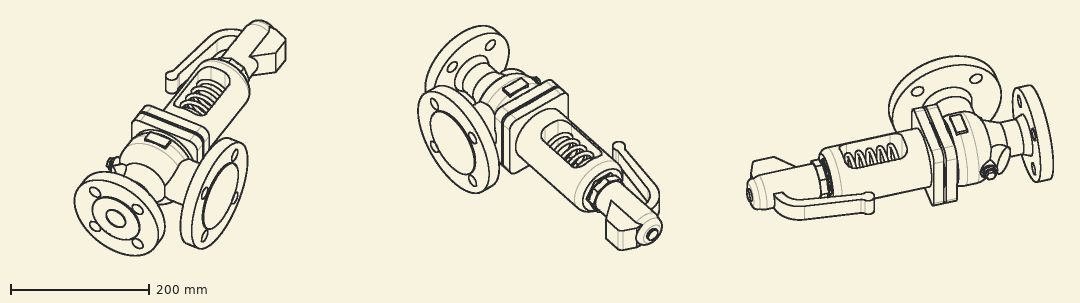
import cadquery as cq
import math


HEX_SIDES = 6

INLET_FACE_Y = -115.0
INLET_FLANGE_D = 140.0
INLET_FLANGE_T = 21.5
INLET_RAISED_D = 78.0
INLET_BOLT_CIRCLE = 100.0
INLET_BORE_D = 32.0
INLET_BORE_DEPTH = 1.0
INLET_PIPE_R = 26.0
INLET_FLARE_R = 31.0
INLET_FLARE_LENGTH = 12.0
INLET_PIPE_END_Y = -57.5

OUTLET_FACE_X = 110.0
OUTLET_FLANGE_D = 165.0
OUTLET_FLANGE_T = 21.0
OUTLET_RAISED_D = 102.0
OUTLET_BOLT_CIRCLE = 125.0
OUTLET_PIPE_R = 32.75
OUTLET_FLARE_R = 38.0
OUTLET_FLARE_LENGTH = 14.0

RAISED_FACE_H = 2.0
BOLT_HOLE_D = 18.0
BOLT_COUNT = 4
BOLT_START_ANGLE = 45.0

BOWL_R = 53.0
BOWL_BOTTOM_R = 36.0
BOWL_BOTTOM_Y = -31.0
BOWL_BELT_LOW_Y = -5.5
BOWL_BELT_HIGH_Y = 12.0
BOWL_TOP_R = 49.0
BOWL_TOP_Y = 24.0
BOWL_NECK_R = 51.0

SQUARE_SIDE = 109.0
SQUARE_CORNER_R = 13.5
BODY_SQUARE_BOTTOM_Y = 28.2
BODY_SQUARE_TOP_Y = 44.7
HOUSING_SQUARE_BOTTOM_Y = 48.0
HOUSING_SQUARE_TOP_Y = 63.3
GASKET_R = 48.0
BODY_LIP_R = 50.0
BODY_LIP_H = 1.2

HOUSING_R = 43.5
HOUSING_TOP_Y = 210.0
HOUSING_SHOULDER_Y = 199.0
HOUSING_TOP_R = 36.5
WINDOW_WIDTH = 51.5
WINDOW_BOTTOM_Y = 91.5
WINDOW_TOP_Y = 185.5
WINDOW_CORNER_R = 14.0

COIL_COUNT = 5
COIL_PITCH = 16.1
COIL_FIRST_Y = 106.7
COIL_WIRE_R = 3.0
COIL_MEAN_R = 27.0

NUT_BOTTOM_Y = 214.7
NUT_TOP_Y = 225.7
NUT_CORNER_R = 29.5
NUT_SIDES = 8
CAP_R = 25.5
LOW_HEX_TOP_Y = 212.8
LOW_HEX_CORNER_R = 30.0
CAP_TAPER_Y = 307.3
CAP_SHOULDER_R = 23.0
CAP_SHOULDER_Y = 317.0
CAP_CROWN_Y = 324.3
CAP_EDGE_R = CAP_CROWN_Y - CAP_SHOULDER_Y
CAP_KNOB_R = 9.0
OVERALL_LENGTH = 442.5
TOP_Y = INLET_FACE_Y + OVERALL_LENGTH

HINGE_THICKNESS = 40.0
HINGE_REACH_X = 45.5
HINGE_LOW_Y = 249.8
HINGE_LOW_X = 15.8
HINGE_OUTER_LOW_Y = 275.0
HINGE_OUTER_TOP_Y = 307.0
HINGE_SHOULDER_X = 22.0
HINGE_EDGE_R = 7.0

LEVER_WIDTH = 28.0
LEVER_BEND_X = -17.6
LEVER_BEND_Y = 255.5
LEVER_OUTER_R = 40.5
LEVER_INNER_R = 26.8
LEVER_OUTER_LEAN = math.radians(7.5)
LEVER_INNER_LEAN = math.radians(9.4)
LEVER_ROOT_X = -12.0
LEVER_GRIP_R = 9.0
LEVER_GRIP_X = -65.77
LEVER_GRIP_Y = 166.0
LEVER_NECK_R = 9.0

DRAIN_BOSS_R = 20.75
DRAIN_FACE_X = -40.0
DRAIN_FACE_Y = -46.75
DRAIN_BOSS_LENGTH = 40.0
PLUG_AXIS_Y = -20.3
PLUG_SEAT_R = 12.6
PLUG_SEAT_X = -55.2
PLUG_COLLAR_R = 9.5
PLUG_COLLAR_X = -59.7
PLUG_HEX_CORNER_D = 15.0
PLUG_END_X = -64.8

PLATE_WIDTH = 34.0
PLATE_HEIGHT = 16.5
PLATE_CENTRE_Y = 9.2
PLATE_TOP_Z = 54.5
PLATE_ROOT_Z = 45.0


def rod_y(radius, y_start, y_end):
    """Cylinder on the Y axis."""
    return cq.Workplane("XZ", origin=(0, y_start, 0)).circle(radius).extrude(y_start - y_end)


def rod_x(radius, x_start, x_end, axis_y=0.0):
    """Cylinder parallel to X, at height axis_y."""
    return cq.Workplane("YZ", origin=(x_start, axis_y, 0)).circle(radius).extrude(x_end - x_start)


def pipe_flange(diameter, thickness, raised_d, bolt_circle):
    """Flange with its sealing face at z = 0 and its back toward +Z."""
    plate = cq.Workplane("XY").workplane(offset=RAISED_FACE_H).circle(diameter / 2)
    plate = plate.extrude(thickness - RAISED_FACE_H)
    holes = cq.Workplane("XY").polarArray(bolt_circle / 2, BOLT_START_ANGLE, 360, BOLT_COUNT)
    holes = holes.circle(BOLT_HOLE_D / 2).extrude(thickness)
    face = cq.Workplane("XY").circle(raised_d / 2).extrude(RAISED_FACE_H)
    return plate.union(face).cut(holes)


def inlet_and_bowl():
    """Inlet pipe, cone and bowl, revolved about Y."""
    flange_back_y = INLET_FACE_Y + INLET_FLANGE_T
    bulge_depth = BOWL_R - BOWL_BOTTOM_R
    bulge_height = BOWL_BELT_LOW_Y - BOWL_BOTTOM_Y
    bulge_r = (bulge_depth**2 + bulge_height**2) / (2 * bulge_depth)
    half_angle = math.asin(bulge_height / bulge_r) / 2
    bulge_mid = (
        BOWL_R - bulge_r * (1 - math.cos(half_angle)),
        BOWL_BELT_LOW_Y - bulge_r * math.sin(half_angle),
    )
    profile = (
        cq.Workplane("XY")
        .moveTo(0, flange_back_y)
        .lineTo(INLET_FLARE_R, flange_back_y)
        .lineTo(INLET_PIPE_R, flange_back_y + INLET_FLARE_LENGTH)
        .lineTo(INLET_PIPE_R, INLET_PIPE_END_Y)
        .lineTo(BOWL_BOTTOM_R, BOWL_BOTTOM_Y)
        .threePointArc(bulge_mid, (BOWL_R, BOWL_BELT_LOW_Y))
        .lineTo(BOWL_R, BOWL_BELT_HIGH_Y)
        .tangentArcPoint((BOWL_TOP_R, BOWL_TOP_Y), relative=False)
        .lineTo(BOWL_NECK_R, BODY_SQUARE_BOTTOM_Y)
        .lineTo(0, BODY_SQUARE_BOTTOM_Y)
        .close()
    )
    bowl = profile.revolve(360, (0, 0, 0), (0, 1, 0))
    flange = pipe_flange(INLET_FLANGE_D, INLET_FLANGE_T, INLET_RAISED_D, INLET_BOLT_CIRCLE)
    flange = flange.rotate((0, 0, 0), (1, 0, 0), -90).translate((0, INLET_FACE_Y, 0))
    bore = rod_y(INLET_BORE_D / 2, INLET_FACE_Y, INLET_FACE_Y + INLET_BORE_DEPTH)
    return bowl.union(flange).cut(bore)


def outlet():
    """Outlet pipe with its flare and flange."""
    flange_back_x = OUTLET_FACE_X - OUTLET_FLANGE_T
    profile = (
        cq.Workplane("XY")
        .lineTo(0, OUTLET_PIPE_R)
        .lineTo(flange_back_x - OUTLET_FLARE_LENGTH, OUTLET_PIPE_R)
        .lineTo(flange_back_x, OUTLET_FLARE_R)
        .lineTo(flange_back_x, 0)
        .close()
    )
    pipe = profile.revolve(360, (0, 0, 0), (1, 0, 0))
    flange = pipe_flange(OUTLET_FLANGE_D, OUTLET_FLANGE_T, OUTLET_RAISED_D, OUTLET_BOLT_CIRCLE)
    flange = flange.rotate((0, 0, 0), (0, 1, 0), -90).translate((OUTLET_FACE_X, 0, 0))
    return pipe.union(flange)


def square_flange(y_bottom, y_top):
    """Square plate with rounded corners, centred on the Y axis."""
    thickness = y_top - y_bottom
    plate = cq.Workplane("XY").box(SQUARE_SIDE, thickness, SQUARE_SIDE)
    plate = plate.edges("|Y").fillet(SQUARE_CORNER_R)
    return plate.translate((0, y_bottom + thickness / 2, 0))


def spring_housing():
    """Housing on its square flange, with a window right through along Z, and the spring coils."""
    profile = (
        cq.Workplane("XY")
        .moveTo(0, HOUSING_SQUARE_BOTTOM_Y)
        .lineTo(HOUSING_R, HOUSING_SQUARE_BOTTOM_Y)
        .lineTo(HOUSING_R, HOUSING_SHOULDER_Y)
        .tangentArcPoint((HOUSING_TOP_R, HOUSING_TOP_Y), relative=False)
        .lineTo(0, HOUSING_TOP_Y)
        .close()
    )
    barrel = profile.revolve(360, (0, 0, 0), (0, 1, 0))
    window_height = WINDOW_TOP_Y - WINDOW_BOTTOM_Y
    window = cq.Workplane("XY").box(WINDOW_WIDTH, window_height, 2 * HOUSING_R)
    window = window.edges("|Z").fillet(WINDOW_CORNER_R)
    housing = barrel.cut(window.translate((0, WINDOW_BOTTOM_Y + window_height / 2, 0)))
    for index in range(COIL_COUNT):
        centre = cq.Vector(0, COIL_FIRST_Y + index * COIL_PITCH, 0)
        housing = housing.union(
            cq.Workplane(cq.Solid.makeTorus(COIL_MEAN_R, COIL_WIRE_R, centre, cq.Vector(0, 1, 0)))
        )
    return housing.union(square_flange(HOUSING_SQUARE_BOTTOM_Y, HOUSING_SQUARE_TOP_Y))


def cap():
    """Lift cap with its top knob, and the octagonal lock nut with a corner on the X axis."""
    crown_r = CAP_SHOULDER_R - CAP_EDGE_R
    profile = (
        cq.Workplane("XY")
        .moveTo(0, HOUSING_TOP_Y)
        .lineTo(CAP_R, HOUSING_TOP_Y)
        .lineTo(CAP_R, CAP_TAPER_Y)
        .lineTo(CAP_SHOULDER_R, CAP_SHOULDER_Y)
        .radiusArc((crown_r, CAP_CROWN_Y), -CAP_EDGE_R)
        .lineTo(CAP_KNOB_R, CAP_CROWN_Y)
        .lineTo(CAP_KNOB_R, TOP_Y)
        .lineTo(0, TOP_Y)
        .close()
    )
    body = profile.revolve(360, (0, 0, 0), (0, 1, 0))
    nut = cq.Workplane("XZ", origin=(0, NUT_BOTTOM_Y, 0)).polygon(NUT_SIDES, 2 * NUT_CORNER_R)
    return body.union(nut.extrude(NUT_BOTTOM_Y - NUT_TOP_Y))


def low_hexagon():
    """Thin hexagon on top of the housing, its corners turned down to a cone."""
    height = LOW_HEX_TOP_Y - HOUSING_TOP_Y
    flat_r = LOW_HEX_CORNER_R * math.cos(math.pi / HEX_SIDES)
    hexagon = cq.Workplane("XZ", origin=(0, HOUSING_TOP_Y, 0)).polygon(HEX_SIDES, 2 * LOW_HEX_CORNER_R)
    prism = hexagon.extrude(-height)
    cone = cq.Solid.makeCone(
        LOW_HEX_CORNER_R, flat_r, height, cq.Vector(0, HOUSING_TOP_Y, 0), cq.Vector(0, 1, 0)
    )
    return prism.intersect(cq.Workplane(cone))


def hinge_housing():
    """Thick plate standing off the +X side of the cap."""
    outline = (
        cq.Workplane("XY", origin=(0, 0, -HINGE_THICKNESS / 2))
        .moveTo(0, HINGE_LOW_Y)
        .lineTo(HINGE_LOW_X, HINGE_LOW_Y)
        .lineTo(HINGE_REACH_X, HINGE_OUTER_LOW_Y)
        .lineTo(HINGE_REACH_X, HINGE_OUTER_TOP_Y)
        .lineTo(HINGE_SHOULDER_X, CAP_SHOULDER_Y)
        .lineTo(0, CAP_SHOULDER_Y)
        .close()
    )
    plate = outline.extrude(HINGE_THICKNESS)
    outer_corner = cq.selectors.NearestToPointSelector((HINGE_REACH_X, HINGE_OUTER_TOP_Y, 0))
    return plate.edges(outer_corner).fillet(HINGE_EDGE_R)


def lever_bend_point(radius, angle):
    """Point on a lever bend arc; angle 0 points toward -X and 90 degrees toward +Y."""
    return (LEVER_BEND_X - radius * math.cos(angle), LEVER_BEND_Y + radius * math.sin(angle))


def lever_edge_end(radius, lean):
    """Point where the straight edge below a bend arc reaches the height of the grip centre."""
    x_bend, y_bend = lever_bend_point(radius, lean)
    return (x_bend - (y_bend - LEVER_GRIP_Y) * math.tan(lean), LEVER_GRIP_Y)


def lever():
    """Bent, tapering lever that leaves the cap and runs down to a round grip."""
    crest = math.pi / 2
    outer_mid = (crest + LEVER_OUTER_LEAN) / 2
    inner_mid = (crest + LEVER_INNER_LEAN) / 2
    outline = (
        cq.Workplane("XY", origin=(0, 0, -LEVER_WIDTH / 2))
        .moveTo(LEVER_ROOT_X, LEVER_BEND_Y + LEVER_OUTER_R)
        .lineTo(*lever_bend_point(LEVER_OUTER_R, crest))
        .threePointArc(
            lever_bend_point(LEVER_OUTER_R, outer_mid),
            lever_bend_point(LEVER_OUTER_R, LEVER_OUTER_LEAN),
        )
        .lineTo(*lever_edge_end(LEVER_OUTER_R, LEVER_OUTER_LEAN))
        .lineTo(*lever_edge_end(LEVER_INNER_R, LEVER_INNER_LEAN))
        .lineTo(*lever_bend_point(LEVER_INNER_R, LEVER_INNER_LEAN))
        .threePointArc(
            lever_bend_point(LEVER_INNER_R, inner_mid),
            lever_bend_point(LEVER_INNER_R, crest),
        )
        .lineTo(LEVER_ROOT_X, LEVER_BEND_Y + LEVER_INNER_R)
        .close()
    )
    grip = cq.Workplane("XY", origin=(LEVER_GRIP_X, LEVER_GRIP_Y, -LEVER_WIDTH / 2))
    grip = grip.circle(LEVER_GRIP_R).extrude(LEVER_WIDTH)
    body = outline.extrude(LEVER_WIDTH).union(grip)
    neck_top_y = LEVER_GRIP_Y + LEVER_GRIP_R
    neck = cq.selectors.BoxSelector(
        (LEVER_GRIP_X - LEVER_GRIP_R, LEVER_GRIP_Y, -LEVER_WIDTH),
        (LEVER_GRIP_X + LEVER_GRIP_R, neck_top_y, LEVER_WIDTH),
    )
    return body.edges("|Z").edges(neck).fillet(LEVER_NECK_R)


def drain():
    """Sloping drain boss, and the plug seat with collar and hexagon along -X."""
    face = cq.Plane(origin=(DRAIN_FACE_X, DRAIN_FACE_Y, 0), xDir=(0, 0, 1), normal=(1, 1, 0))
    boss = cq.Workplane(face).circle(DRAIN_BOSS_R).extrude(DRAIN_BOSS_LENGTH)
    seat = rod_x(PLUG_SEAT_R, PLUG_SEAT_X, 0, PLUG_AXIS_Y)
    collar = rod_x(PLUG_COLLAR_R, PLUG_COLLAR_X, PLUG_SEAT_X, PLUG_AXIS_Y)
    hexagon = cq.Workplane("YZ", origin=(PLUG_END_X, PLUG_AXIS_Y, 0)).polygon(HEX_SIDES, PLUG_HEX_CORNER_D)
    return boss.union(seat).union(collar).union(hexagon.extrude(PLUG_COLLAR_X - PLUG_END_X))


def name_plate():
    """Flat pad rising from the bowl."""
    pad = cq.Workplane("XY", origin=(0, PLATE_CENTRE_Y, PLATE_ROOT_Z)).rect(PLATE_WIDTH, PLATE_HEIGHT)
    return pad.extrude(PLATE_TOP_Z - PLATE_ROOT_Z)


result = (
    inlet_and_bowl()
    .union(outlet())
    .union(square_flange(BODY_SQUARE_BOTTOM_Y, BODY_SQUARE_TOP_Y))
    .union(rod_y(BODY_LIP_R, BODY_SQUARE_TOP_Y, BODY_SQUARE_TOP_Y + BODY_LIP_H))
    .union(rod_y(GASKET_R, BODY_SQUARE_TOP_Y, HOUSING_SQUARE_BOTTOM_Y))
    .union(spring_housing())
    .union(cap())
    .union(low_hexagon())
    .union(hinge_housing())
    .union(lever())
    .union(drain())
    .union(name_plate())
)